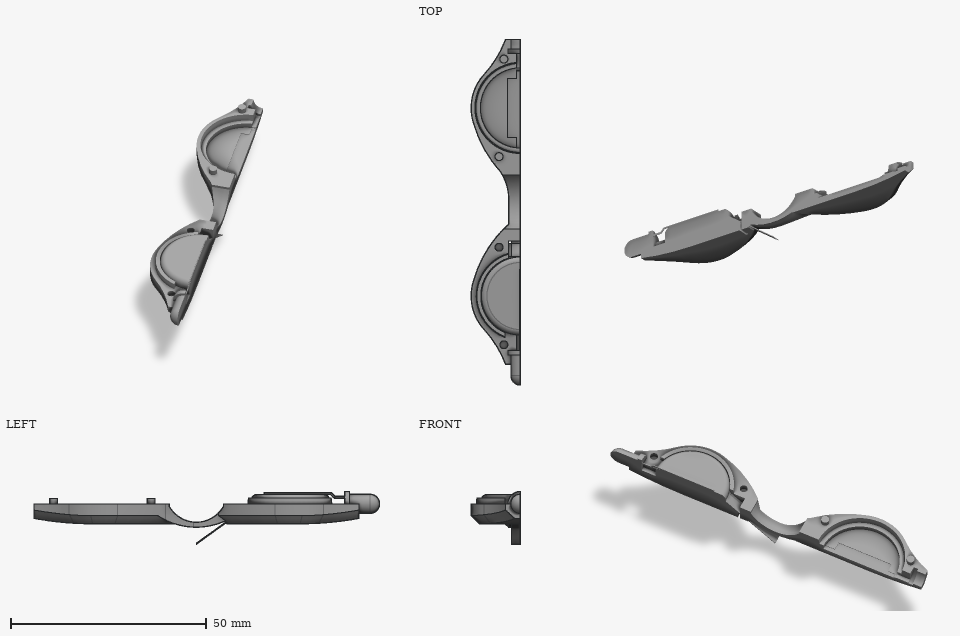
import cadquery as cq
import math


SHELL_END = 41.6
SHELL_DEPTH = 5.1
EDGE_CHAMFER = 2.1
LENS_CENTER = 24.1
LENS_RADIUS = 12.7
LENS_END = 32.6
LENS_START = 20.2
TAIL_MID = (-6.1, 36.95)
TAIL_HALF_WIDTH = 3.8
TAIL_OVERRUN = 2.7
TAIL_OVERRUN_TAPER = 1.15
FLARE_END = (-5.2, 7.9)
SHELL_START = 5.7
BELLY_RISE_START = 26.6
BELLY_RADIUS = 82.4

BRIDGE_HALF_WIDTH = 3.0
BRIDGE_TOP_DIP = 4.7
BRIDGE_TOP_RADIUS = 8.0
SHELL_GAP = 13.8
BRIDGE_BOTTOM_DIP = 6.0
BRIDGE_BOTTOM_RADIUS = 17.7
FLARE_START = 0.8
FLARE_RADIUS = 11.5
FLARE_BLEND = 2.7

PEG_DIAMETER = 2.0
PEG_HEIGHT = 1.4
HOLE_DEPTH = 1.6
PEG_PLACES = [(-4.25, 36.6), (-5.5, 11.6)]

BATTERY_RADIUS = 10.0
BATTERY_HEIGHT = 2.4
BATTERY_FILLET = 1.4
RIM_INNER_RADIUS = 10.2
RIM_RADIUS = 11.3
RIM_HEIGHT = 1.5
RIM_DRAFT = 0.2
RIM_GAP = 4.0
RECESS_RADIUS = 11.7
RECESS_DEPTH = 1.8
RECESS_DRAFT = 0.3
WELL_RADIUS = 10.3
WELL_DEPTH = 3.2

RELIEF_DEPTH = 3.4
RELIEF_HALF_WIDTH = 3.3
RELIEF_LENGTH = 15.15
GROOVE_HALF_WIDTH = 1.1
LID_GROOVE_DEPTH = 2.9
RAMP_START = 34.3
RAMP_END = 33.6
BASE_GROOVE_DEPTH = 1.6

LED_RADIUS = 2.5
LED_FLANGE_RADIUS = 3.2
LED_FLANGE_START = 38.0
LED_FLANGE_END = 39.25
LED_TIP = 47.0
LEAD_RADIUS = 0.3
LEAD_HEIGHT = 1.7
LEAD_BEND = 35.4
LEAD_RISE_END = 34.5
LEAD_TIP = 17.4

STRIP_HALF_WIDTH = 2.3
STRIP_THICKNESS = 0.22
STRIP_LOW = (0.0, -10.4)
STRIP_HIGH = (-14.0, -0.3)
SLOT_HALF_WIDTH = 3.0
SLOT_START = 10.0
SLOT_WINDOW_END = 10.6

MARGIN = 4.4


def block(x0, x1, y0, y1, z0, z1):
    """Box between the given limits."""
    return cq.Workplane("XY").box(x1 - x0, y1 - y0, z1 - z0, centered=False).translate((x0, y0, z0))


def half_turned(radius, center_y, z0, z1, top_radius=None):
    """Half disc or half cone behind the cut plane, with its axis along Z."""
    end_radius = radius if top_radius is None else top_radius
    profile = [(0, z0), (radius, z0), (end_radius, z1), (0, z1)]
    turned = cq.Workplane("YZ").polyline(profile).close().revolve(180, (0, 0, 0), (0, 1, 0))
    return turned.translate((0, center_y, 0))


def side_prism(points, half_width):
    """Prism with a profile of (y, z) points, from the cut plane to -half_width."""
    return cq.Workplane("YZ").polyline(points).close().extrude(-half_width)


def across(shape):
    """The same shape on the base side."""
    return shape.mirror("XZ")


def shell_prism():
    """Outline of the lid, pulled down to below the belly."""
    lens_end_x = -math.sqrt(LENS_RADIUS**2 - (LENS_END - LENS_CENTER) ** 2)
    lens_start_x = -math.sqrt(LENS_RADIUS**2 - (LENS_START - LENS_CENTER) ** 2)
    overrun_end = SHELL_END + TAIL_OVERRUN
    return (
        cq.Workplane("XY")
        .moveTo(0, SHELL_START)
        .lineTo(-BRIDGE_HALF_WIDTH, SHELL_START)
        .threePointArc(FLARE_END, (lens_start_x, LENS_START))
        .threePointArc((-LENS_RADIUS, LENS_CENTER), (lens_end_x, LENS_END))
        .threePointArc(TAIL_MID, (-TAIL_HALF_WIDTH, SHELL_END))
        .lineTo(-TAIL_HALF_WIDTH + TAIL_OVERRUN_TAPER, overrun_end)
        .lineTo(0, overrun_end)
        .close()
        .extrude(-SHELL_DEPTH - MARGIN)
    )


def belly():
    """Side profile of a shell: flat bottom, then a long arc rising to the tail."""
    end = SHELL_END + TAIL_OVERRUN

    def bottom(y):
        run = y - BELLY_RISE_START
        return -SHELL_DEPTH + BELLY_RADIUS - math.sqrt(BELLY_RADIUS**2 - run**2)

    middle = (BELLY_RISE_START + end) / 2
    return (
        cq.Workplane("YZ")
        .moveTo(0, 0)
        .lineTo(0, -SHELL_DEPTH)
        .lineTo(BELLY_RISE_START, -SHELL_DEPTH)
        .threePointArc((middle, bottom(middle)), (end, bottom(end)))
        .lineTo(end, 0)
        .close()
        .extrude(-LENS_RADIUS)
    )


def shell(end_chamfered):
    """Lid blank with its lower side edges chamfered, and its lower inner edge too if asked."""
    blank = shell_prism().intersect(belly())
    lower_edges = [
        edge
        for edge in blank.edges("not(|X or |Z)").vals()
        if edge.Center().z < 0 and edge.Center().x < 0
    ]
    if end_chamfered:
        lower_edges += blank.faces("<Y").edges("<Z").vals()
    chamfered = cq.Workplane(blank.val().chamfer(EDGE_CHAMFER, None, lower_edges))
    trim = block(-LENS_RADIUS, 0, SHELL_END, SHELL_END + TAIL_OVERRUN, -SHELL_DEPTH, 0)
    return chamfered.cut(trim)


def bridge():
    """Curved bar joining the shells, flared where it runs into the side of the lid."""
    foot_x, foot_y = FLARE_END
    run = (foot_y - FLARE_START) / 2
    flare_mid_x = -BRIDGE_HALF_WIDTH - FLARE_RADIUS + math.sqrt(FLARE_RADIUS**2 - run**2)
    plan = (
        cq.Workplane("XY")
        .moveTo(0, -SHELL_START - EDGE_CHAMFER)
        .lineTo(-BRIDGE_HALF_WIDTH, -SHELL_START - EDGE_CHAMFER)
        .lineTo(-BRIDGE_HALF_WIDTH, FLARE_START)
        .threePointArc((flare_mid_x, FLARE_START + run), (foot_x, foot_y))
        .lineTo(0, foot_y)
        .close()
        .extrude(-SHELL_DEPTH - MARGIN)
    )
    blend = block(-LENS_RADIUS, 0, foot_y, foot_y + FLARE_BLEND, -SHELL_DEPTH - MARGIN, 0)
    blend = blend.intersect(shell_prism())
    under = cq.Workplane("YZ", origin=(0, 0, BRIDGE_BOTTOM_RADIUS - BRIDGE_BOTTOM_DIP))
    under = under.circle(BRIDGE_BOTTOM_RADIUS).extrude(-LENS_RADIUS)
    return plan.union(blend).intersect(under)


def peg_set(z0, z1):
    """Upright round pegs at the lid's peg places."""
    plane = cq.Workplane("XY").workplane(offset=z0)
    return plane.pushPoints(PEG_PLACES).circle(PEG_DIAMETER / 2).extrude(z1 - z0)


def lid_relief():
    """Everything sunk into the lid's mating face except the LED's seat."""
    recess = half_turned(RECESS_RADIUS - RECESS_DRAFT, LENS_CENTER, -RECESS_DEPTH, 0, RECESS_RADIUS)
    well = half_turned(WELL_RADIUS, LENS_CENTER, -WELL_DEPTH, 0)
    relief_start = LENS_CENTER - RELIEF_LENGTH / 2
    relief = block(-RELIEF_HALF_WIDTH, 0, relief_start, relief_start + RELIEF_LENGTH, -RELIEF_DEPTH, 0)
    groove = side_prism(
        [
            (LED_FLANGE_START, 0),
            (LED_FLANGE_START, -LID_GROOVE_DEPTH),
            (RAMP_START, -LID_GROOVE_DEPTH),
            (RAMP_END, -RELIEF_DEPTH),
            (LENS_CENTER - WELL_RADIUS, -RELIEF_DEPTH),
            (LENS_CENTER - WELL_RADIUS, 0),
        ],
        GROOVE_HALF_WIDTH,
    )
    return recess.union(well).union(relief).union(groove)


def rim():
    """Drafted ring around the battery, open toward the LED and above the strip's slot."""
    ring = half_turned(RIM_RADIUS, -LENS_CENTER, 0, RIM_HEIGHT, RIM_RADIUS - RIM_DRAFT)
    ring = ring.cut(half_turned(RIM_INNER_RADIUS, -LENS_CENTER, 0, RIM_HEIGHT))
    led_opening = block(-RIM_GAP, 0, -SHELL_END, -LENS_CENTER, 0, RIM_HEIGHT)
    slot_opening = block(-SLOT_HALF_WIDTH, 0, -LENS_CENTER, -SLOT_START, 0, RIM_HEIGHT)
    return ring.cut(led_opening).cut(slot_opening)


def strip_slope():
    """Rise of the strip per unit of y (negative, as it climbs toward -Y)."""
    return (STRIP_HIGH[1] - STRIP_LOW[1]) / (STRIP_HIGH[0] - STRIP_LOW[0])


def strip_underside(y):
    """Height of the strip's underside at the given y."""
    return STRIP_LOW[1] + strip_slope() * (y - STRIP_LOW[0])


def strip_slot():
    """Slot in the base: a window through to the underside, then a ramp that carries the strip."""
    window = block(-SLOT_HALF_WIDTH, 0, -SLOT_WINDOW_END, -SLOT_START, -SHELL_DEPTH - MARGIN, 0)
    ramp = side_prism(
        [
            (-SLOT_START, 0),
            (-SLOT_START, strip_underside(-SLOT_START)),
            STRIP_HIGH,
            (STRIP_HIGH[0], 0),
        ],
        SLOT_HALF_WIDTH,
    )
    return window.union(ramp)


def fold_opening():
    """Opening above the bridge: an arc below, upright walls where it reaches the mating faces."""
    half_gap = SHELL_GAP / 2
    arc_center = BRIDGE_TOP_RADIUS - BRIDGE_TOP_DIP
    wall_foot = arc_center - math.sqrt(BRIDGE_TOP_RADIUS**2 - half_gap**2)
    return (
        cq.Workplane("YZ")
        .moveTo(-half_gap, 0)
        .lineTo(-half_gap, wall_foot)
        .threePointArc((0, -BRIDGE_TOP_DIP), (half_gap, wall_foot))
        .lineTo(half_gap, 0)
        .close()
        .extrude(-LENS_RADIUS)
    )


def make_led():
    """Half LED lying along Y: flange, body and domed tip."""
    dome_start = -LED_TIP + LED_RADIUS
    dome_mid = LED_RADIUS * math.sqrt(0.5)
    return (
        cq.Workplane("YZ")
        .moveTo(-LED_FLANGE_START, 0)
        .lineTo(-LED_FLANGE_START, LED_FLANGE_RADIUS)
        .lineTo(-LED_FLANGE_END, LED_FLANGE_RADIUS)
        .lineTo(-LED_FLANGE_END, LED_RADIUS)
        .lineTo(dome_start, LED_RADIUS)
        .threePointArc((dome_start - dome_mid, dome_mid), (-LED_TIP, 0))
        .close()
        .revolve(180, (0, 0, 0), (-1, 0, 0))
    )


def make_battery():
    """Half coin cell with a rounded upper edge."""
    shoulder = BATTERY_HEIGHT - BATTERY_FILLET
    inner = BATTERY_RADIUS - BATTERY_FILLET
    bend = BATTERY_FILLET * math.sqrt(0.5)
    return (
        cq.Workplane("YZ")
        .lineTo(BATTERY_RADIUS, 0)
        .lineTo(BATTERY_RADIUS, shoulder)
        .threePointArc((inner + bend, shoulder + bend), (inner, BATTERY_HEIGHT))
        .lineTo(0, BATTERY_HEIGHT)
        .close()
        .revolve(180, (0, 0, 0), (0, 1, 0))
        .translate((0, -LENS_CENTER, 0))
    )


def make_lead():
    """Half of a round wire from the LED's flange, bent up onto the battery's top face."""
    top = BATTERY_HEIGHT + LEAD_RADIUS
    path = (
        cq.Workplane("YZ")
        .moveTo(-LED_FLANGE_START, LEAD_HEIGHT)
        .lineTo(-LEAD_BEND, LEAD_HEIGHT)
        .lineTo(-LEAD_RISE_END, top)
        .lineTo(-LEAD_TIP, top)
    )
    return (
        cq.Workplane("XZ", origin=(0, -LED_FLANGE_START, LEAD_HEIGHT))
        .moveTo(0, -LEAD_RADIUS)
        .threePointArc((-LEAD_RADIUS, 0), (0, LEAD_RADIUS))
        .close()
        .sweep(path, transition="right")
    )


def make_strip():
    """Straight springy strip from below the bridge up to the battery's edge."""
    rise = STRIP_THICKNESS * math.hypot(1, strip_slope())
    points = [
        STRIP_LOW,
        STRIP_HIGH,
        (STRIP_HIGH[0], STRIP_HIGH[1] + rise),
        (STRIP_LOW[0], STRIP_LOW[1] + rise),
    ]
    return side_prism(points, STRIP_HALF_WIDTH)


def make_frame(led_body, strip_body):
    """Lid, bridge and base in one piece."""
    lid = shell(end_chamfered=False)
    base = across(shell(end_chamfered=True))
    frame = lid.union(base).union(bridge()).cut(fold_opening())
    frame = frame.cut(lid_relief()).cut(across(led_body)).union(peg_set(0, PEG_HEIGHT))
    groove_end = -LENS_CENTER - BATTERY_RADIUS
    base_groove = block(-GROOVE_HALF_WIDTH, 0, -LED_FLANGE_START, groove_end, -BASE_GROOVE_DEPTH, 0)
    frame = frame.union(rim()).cut(base_groove).cut(across(peg_set(-HOLE_DEPTH, 0)))
    return frame.cut(led_body).cut(strip_slot()).cut(strip_body)


led = make_led()
battery = make_battery()
lead = make_lead()
strip = make_strip()
frame = make_frame(led, strip)

result = cq.Compound.makeCompound(
    [frame.solids().val(), battery.val(), led.val(), lead.val(), strip.val()]
)